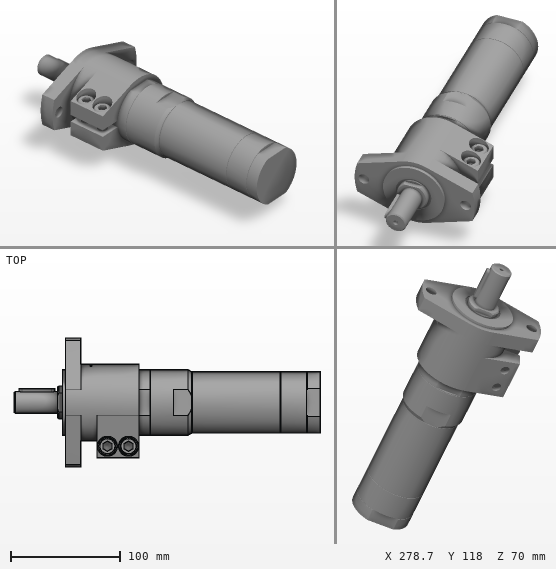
import cadquery as cq
import math


nut_start = 39.5
pilot_start = 43.8
flange_start = 46.5
flange_end = 60.8
clamp_start = 75.2
clamp_end = 113.7
collar_start = 123.5
collar_end = 145.0
taper_start = 158.0
tube_start = 161.6
end_cap_start = 242.0
end_flats_start = 266.2
total_length = 278.7

shaft_diameter = 20.0
nut_diameter = 30.0
core_diameter = 60.0
housing_diameter = 70.0
tube_diameter = 56.0
seal_recess_diameter = 34.8

shaft_chamfer = 0.98
nut_chamfer = 1.0
seal_recess_depth = 1.0
taper_drop = 2.0
joint_groove_width = 0.8
joint_groove_depth = 0.42

nut_flats = 24.8
core_flats = 55.0
end_flats = 50.0

key_start = 4.2
key_end = 37.0
key_width = 6.0
key_top = 12.5
centre_hole_diameter = 3.5
countersink_diameter = 5.0
centre_hole_depth = 8.5
drill_point_angle = 118

flange_span = 118.0
flange_slope = 20
flange_hole_diameter = 10.5
flange_hole_offset = 50.0

lug_reach = 50.5
clamp_gap = 7.2
screw_offset = 39.9
screw_pitch = 19.2
counterbore_diameter = 18.0
counterbore_floor = 9.0
head_diameter = 16.0
head_height = 10.0
head_chamfer = 1.0
shank_diameter = 10.0
socket_width = 8.0
socket_depth = 5.0
thread_hole_diameter = 8.5
screw_tip_depth = 16.2

wire_hole_diameter = 1.55
wire_hole_x = 70.0
wire_hole_y = 33.7

housing_radius = housing_diameter / 2
slope = math.radians(flange_slope)
tangent_y = housing_radius * math.sin(slope)
tangent_z = housing_radius * math.cos(slope)


def cylinder_along_x(start, end, diameter):
    return cq.Workplane("YZ", origin=(start, 0, 0)).circle(diameter / 2).extrude(end - start)


def cylinder_along_z(x, y, bottom, top, diameter):
    return cq.Workplane("XY", origin=(x, y, bottom)).circle(diameter / 2).extrude(top - bottom)


def cone_height(diameter):
    """Height of a drill point of the given diameter."""
    return diameter / 2 / math.tan(math.radians(drill_point_angle / 2))


def with_flats(body, start, end, across):
    """Cut two flats, above and below the axis, between two stations."""
    side = housing_diameter
    length = end - start
    block = cq.Workplane("YZ", origin=(start, 0, 0)).rect(side, side).extrude(length)
    kept = cq.Workplane("YZ", origin=(start, 0, 0)).rect(side, across).extrude(length)
    return body.cut(block.cut(kept))


def joint_groove(start, diameter):
    """Thin ring-shaped cutter for the joint line between two turned parts."""
    end = start + joint_groove_width
    inner = cylinder_along_x(start, end, diameter - 2 * joint_groove_depth)
    return cylinder_along_x(start, end, housing_diameter).cut(inner)


def make_shaft():
    shaft = cylinder_along_x(0, flange_start, shaft_diameter).faces("<X").chamfer(shaft_chamfer)

    key = (
        cq.Workplane("XZ", origin=((key_start + key_end) / 2, 0, 0))
        .slot2D(key_end - key_start, key_width)
        .extrude(-key_top)
    )

    hole_radius = centre_hole_diameter / 2
    countersink_radius = countersink_diameter / 2
    centre_hole = (
        cq.Workplane("XY")
        .polyline([
            (0, 0),
            (0, countersink_radius),
            (countersink_radius - hole_radius, hole_radius),
            (centre_hole_depth, hole_radius),
            (centre_hole_depth + cone_height(centre_hole_diameter), 0),
        ])
        .close()
        .revolve(360, (0, 0, 0), (1, 0, 0))
    )
    return shaft.union(key).cut(centre_hole)


def make_nut():
    """Flatted ring on a round base that sits in the seal recess."""
    nut = cylinder_along_x(nut_start, flange_start, nut_diameter).faces("<X").chamfer(nut_chamfer)
    return with_flats(nut, nut_start, pilot_start, nut_flats)


def make_flange():
    """Pilot and two-hole flange, whose sloped sides are tangent to the housing."""
    half_span = flange_span / 2
    corner_angle = math.pi / 2 - slope - math.acos(housing_radius / half_span)
    corner_y = half_span * math.cos(corner_angle)
    corner_z = half_span * math.sin(corner_angle)

    flange = (
        cq.Workplane("YZ", origin=(flange_start, 0, 0))
        .moveTo(corner_y, -corner_z)
        .threePointArc((half_span, 0), (corner_y, corner_z))
        .lineTo(tangent_y, tangent_z)
        .threePointArc((0, housing_radius), (-tangent_y, tangent_z))
        .lineTo(-corner_y, corner_z)
        .threePointArc((-half_span, 0), (-corner_y, -corner_z))
        .lineTo(-tangent_y, -tangent_z)
        .threePointArc((0, -housing_radius), (tangent_y, -tangent_z))
        .close()
        .extrude(flange_end - flange_start)
    )
    holes = (
        cq.Workplane("YZ", origin=(flange_start, 0, 0))
        .pushPoints([(-flange_hole_offset, 0), (flange_hole_offset, 0)])
        .circle(flange_hole_diameter / 2)
        .extrude(flange_end - flange_start)
    )
    pilot = cylinder_along_x(pilot_start, flange_start, core_diameter)
    recess = cylinder_along_x(pilot_start, pilot_start + seal_recess_depth, seal_recess_diameter)
    return flange.cut(holes).union(pilot).cut(recess)


def make_clamp():
    """Split ring around the core, with two lugs on the -Y side."""
    lug_z = tangent_z - (lug_reach - tangent_y) * math.tan(slope)
    length = clamp_end - clamp_start

    lugs = (
        cq.Workplane("YZ", origin=(clamp_start, 0, 0))
        .polyline([
            (0, tangent_z),
            (-tangent_y, tangent_z),
            (-lug_reach, lug_z),
            (-lug_reach, -lug_z),
            (-tangent_y, -tangent_z),
            (0, -tangent_z),
        ])
        .close()
        .extrude(length)
    )
    gap = (
        cq.Workplane("YZ", origin=(clamp_start, -lug_reach / 2, 0))
        .rect(lug_reach, clamp_gap)
        .extrude(length)
    )
    ring = cylinder_along_x(clamp_start, clamp_end, housing_diameter)
    core = cylinder_along_x(clamp_start, clamp_end, core_diameter)
    clamp = ring.union(lugs).cut(gap).union(core)

    clamp_middle = (clamp_start + clamp_end) / 2
    for side in (-1, 1):
        clamp = add_screw(clamp, clamp_middle + side * screw_pitch / 2, -screw_offset)
    return clamp


def add_screw(clamp, x, y):
    """Sink a socket head screw into the lugs at the given place."""
    head_top = counterbore_floor + head_height
    counterbore = cylinder_along_z(x, y, counterbore_floor, housing_radius, counterbore_diameter)
    thread_hole = cylinder_along_z(x, y, -housing_radius, -screw_tip_depth, thread_hole_diameter)
    shank = cylinder_along_z(x, y, -clamp_gap / 2, counterbore_floor, shank_diameter)
    head = cylinder_along_z(x, y, counterbore_floor, head_top, head_diameter)
    head = head.faces(">Z").chamfer(head_chamfer)

    sides = 6
    half_sector = 180 / sides
    corner_diameter = socket_width / math.cos(math.radians(half_sector))
    point_height = cone_height(corner_diameter)
    hexagon = (
        cq.Workplane("XY", origin=(x, y, head_top))
        .transformed(rotate=(0, 0, half_sector))
        .polygon(sides, corner_diameter)
        .extrude(-socket_depth - point_height)
    )
    drill = (
        cq.Workplane("XZ", origin=(x, y, head_top))
        .polyline([
            (0, 0),
            (corner_diameter / 2, 0),
            (corner_diameter / 2, -socket_depth),
            (0, -socket_depth - point_height),
        ])
        .close()
        .revolve(360, (0, 0, 0), (0, 1, 0))
    )
    head = head.cut(hexagon.intersect(drill))
    return clamp.cut(counterbore).cut(thread_hole).union(shank).union(head)


def make_housing():
    housing = cylinder_along_x(flange_end, clamp_start, housing_diameter)
    wire_hole = cylinder_along_z(
        wire_hole_x, wire_hole_y, -housing_radius, housing_radius, wire_hole_diameter
    )
    return housing.cut(wire_hole)


def make_gear_body():
    """Core behind the clamp: flats on both sides of a round collar, then a taper."""
    core_radius = core_diameter / 2
    body = (
        cq.Workplane("XY")
        .polyline([
            (clamp_end, 0),
            (clamp_end, core_radius),
            (taper_start, core_radius),
            (tube_start, core_radius - taper_drop),
            (tube_start, 0),
        ])
        .close()
        .revolve(360, (0, 0, 0), (1, 0, 0))
    )
    body = with_flats(body, clamp_end, collar_start, core_flats)
    body = with_flats(body, collar_end, tube_start, core_flats)
    return body.cut(joint_groove(collar_start, core_diameter))


def make_motor():
    """Motor tube and end cap, with flats at the free end."""
    motor = cylinder_along_x(tube_start, total_length, tube_diameter)
    for start in (tube_start, end_cap_start, end_flats_start):
        motor = motor.cut(joint_groove(start, tube_diameter))
    return with_flats(motor, end_flats_start, total_length, end_flats)


result = (
    make_flange()
    .union(make_nut())
    .union(make_shaft())
    .union(make_housing())
    .union(make_clamp())
    .union(make_gear_body())
    .union(make_motor())
)